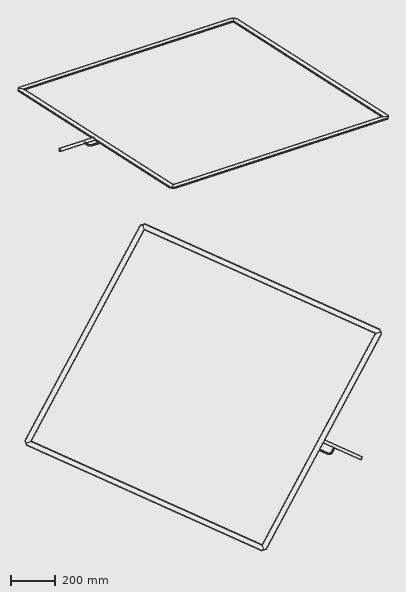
import cadquery as cq

frame_side = 1219.0
bar_width = 25.0
bar_thickness = 7.0
corner_cut = 15.0

overall_length = 1409.0
pin_diameter = 15.0
pin_length = overall_length - frame_side

wire_diameter = 7.0
hook_offset = 47.0
hook_drop = 56.0
bend_radius = 14.0

half_side = frame_side / 2
half_opening = half_side - bar_width


def make_bar(angle):
    """Bar along the -Y side with 45-degree mitred ends, turned about Z by angle."""
    cut_end = half_side - corner_cut
    miter_end = half_side - corner_cut / 2
    return (
        cq.Workplane("XY")
        .workplane(offset=-bar_thickness / 2)
        .polyline([
            (-cut_end, -half_side),
            (cut_end, -half_side),
            (miter_end, -miter_end),
            (half_opening, -half_opening),
            (-half_opening, -half_opening),
            (-miter_end, -miter_end),
        ])
        .close()
        .extrude(bar_thickness)
        .rotate((0, 0, 0), (0, 0, 1), angle)
    )


def make_pin():
    """Plain cylinder whose inner end butts against the -Y bar."""
    return (
        cq.Workplane("XZ", origin=(0, -half_side, 0))
        .circle(pin_diameter / 2)
        .extrude(pin_length)
    )


def make_hook(pin):
    """Wire swept around one bend, its short leg trimmed to the pin surface."""
    leg_y = -half_side - hook_drop
    path = (
        cq.Workplane("XY")
        .moveTo(hook_offset, -half_side)
        .lineTo(hook_offset, leg_y + bend_radius)
        .radiusArc((hook_offset - bend_radius, leg_y), bend_radius)
        .lineTo(0, leg_y)
    )
    wire = (
        cq.Workplane("XZ", origin=(hook_offset, -half_side, 0))
        .circle(wire_diameter / 2)
        .sweep(path)
    )
    return wire.cut(pin)


bars = [make_bar(90 * side) for side in range(4)]
pin = make_pin()
hook = make_hook(pin)

result = cq.Compound.makeCompound([*[bar.val() for bar in bars], pin.val(), *hook.vals()])